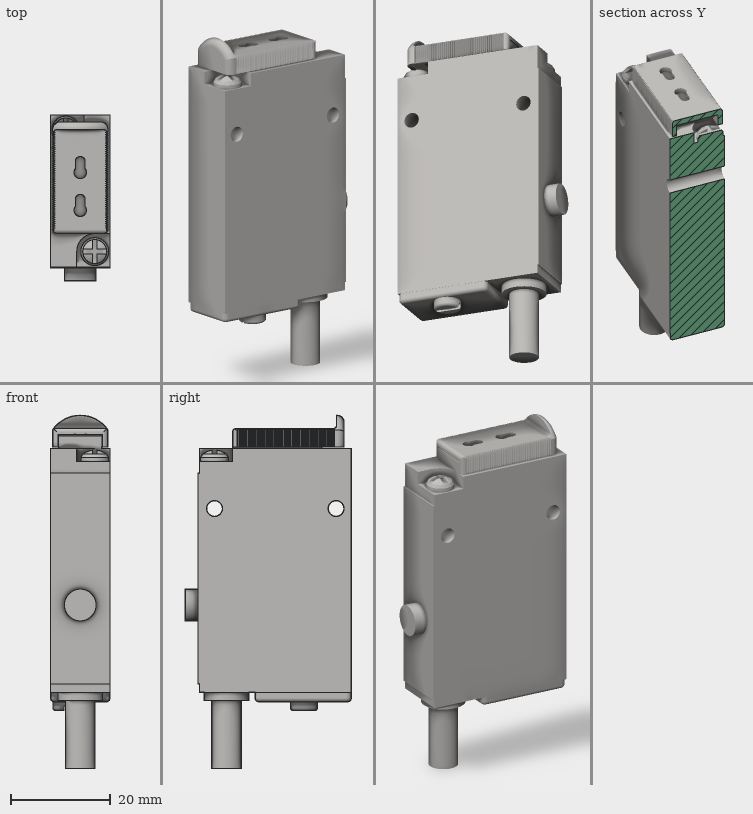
import cadquery as cq
import math

body_width = 12.0
body_depth = 30.45
body_height = 48.9
half_width = body_width / 2

panel_thickness = 0.3
panel_bottom = 1.7
panel_top = 43.9

button_diameter = 6.4
button_height = 2.55
button_z = 17.5

mount_hole_diameter = 3.1
mount_hole_inset = 3.05
mount_hole_z = 36.85

screw_x = 2.9
screw_inset = 3.05
screw_diameter = 5.6
screw_rim_height = 0.85
screw_shoulder_height = 1.5
screw_shoulder_radius = 2.4
screw_height = 2.35
cross_width = 1.0
pocket_radius = 3.6
pocket_depth = 2.6
pocket_floor = body_height - pocket_depth
pocket_back = screw_inset + pocket_radius

cover_front = pocket_back
cover_back = 29.05
cover_half_width = 5.5
cover_bottom = 49.15
cover_top = 52.9
cover_front_corner = 0.9
cover_back_corner = 1.4
cover_front_round = 0.8
cover_back_wall = 1.05

tooth_pitch = 0.4
tooth_depth = 0.4
tooth_count = 46
teeth_start = cover_front + cover_front_corner

tongue_front = 27.5
tongue_top = 55.55
tongue_arc_radius = 6.65
tongue_back_round = 1.4
tongue_root_round = 0.6

cavity_half_width = 4.45
cavity_ceiling = 51.7
plug_half_width = 4.3
plug_back = 24.6
plug_top = 51.35
bridge_start = 15.2
bridge_end = 17.35

keyhole_diameter = 2.5
keyhole_slot_width = 2.0
keyhole_length = 2.2
keyhole_y_positions = (11.3, 18.9)

plate_half_width = 5.95
plate_depth = 19.3
plate_thickness = 1.9
plate_corner = 1.0
plate_round = 0.7

adjuster_x = -2.75
adjuster_y = 21.0
adjuster_diameter = 5.45
adjuster_height = 1.8
adjuster_round = 0.6
adjuster_slot_width = 0.9
adjuster_slot_depth = 0.9

cable_y = 5.45
cable_diameter = 5.95
cable_length = 15.3
gland_diameter = 9.0
gland_height = 1.7


def box(x_range, y_range, z_range):
    """Box given by its lower and upper limits along each axis."""
    ranges = (x_range, y_range, z_range)
    sizes = [high - low for low, high in ranges]
    corner = tuple(low for low, high in ranges)
    return cq.Workplane("XY").box(*sizes, centered=False).translate(corner)


def cylinder(diameter, height, x, y, z):
    """Upright cylinder standing on the point (x, y, z)."""
    return cq.Workplane("XY").circle(diameter / 2).extrude(height).translate((x, y, z))


def turned_about_centre(shape):
    """Copy of a shape turned half a turn about the housing's vertical centre line."""
    centre_y = body_depth / 2
    return shape.rotate((0, centre_y, 0), (0, centre_y, 1), 180)


def make_housing():
    housing = box((-half_width, half_width), (0, body_depth), (0, body_height))
    panel = box((-half_width, half_width), (-panel_thickness, 0), (panel_bottom, panel_top))
    button = (
        cq.Workplane("XZ")
        .center(0, button_z)
        .circle(button_diameter / 2)
        .extrude(panel_thickness + button_height)
    )
    mount_holes = (
        cq.Workplane("YZ")
        .pushPoints([(y, mount_hole_z) for y in (mount_hole_inset, body_depth - mount_hole_inset)])
        .circle(mount_hole_diameter / 2)
        .extrude(half_width, both=True)
    )
    return housing.union(panel).union(button).cut(mount_holes)


def make_plug():
    block = box((-plug_half_width, plug_half_width), (cover_front, plug_back), (body_height, plug_top))
    bridge = box((-plug_half_width, plug_half_width), (bridge_start, bridge_end), (plug_top, cavity_ceiling))
    return block.union(bridge)


def make_pocket():
    """Pocket open to the front and the right, with one rounded inner corner."""
    left = screw_x - pocket_radius
    diagonal = pocket_radius * math.sqrt(0.5)
    return (
        cq.Workplane("XY", origin=(0, 0, pocket_floor))
        .moveTo(left, -panel_thickness)
        .lineTo(left, screw_inset)
        .threePointArc((screw_x - diagonal, screw_inset + diagonal), (screw_x, pocket_back))
        .lineTo(half_width, pocket_back)
        .lineTo(half_width, -panel_thickness)
        .close()
        .extrude(cover_bottom - pocket_floor)
    )


def make_terminal_screw():
    """Domed head with a cross recess, standing on the pocket floor."""
    radius = screw_diameter / 2
    dome_rise = screw_height - screw_shoulder_height
    dome_radius = (screw_shoulder_radius**2 + dome_rise**2) / (2 * dome_rise)
    head = (
        cq.Workplane("XZ")
        .lineTo(radius, 0)
        .lineTo(radius, screw_rim_height)
        .lineTo(screw_shoulder_radius, screw_shoulder_height)
        .radiusArc((0, screw_height), -dome_radius)
        .close()
        .revolve(360, (0, 0, 0), (0, 1, 0))
    )
    cross_z = (screw_shoulder_height, screw_height)
    bar = box((-radius, radius), (-cross_width / 2, cross_width / 2), cross_z)
    cross = bar.union(bar.rotate((0, 0, 0), (0, 0, 1), 90))
    return head.cut(cross).translate((screw_x, screw_inset, pocket_floor))


def make_cover_plan():
    """Cover seen from above: rounded corners and toothed long sides."""
    plan = (
        box((-cover_half_width, cover_half_width), (cover_front, cover_back), (cover_bottom, tongue_top))
        .edges("|Z and <Y")
        .fillet(cover_front_corner)
        .edges("|Z and >Y")
        .fillet(cover_back_corner)
    )
    valley = cover_half_width - tooth_depth
    outside = 2 * cover_half_width
    points = [(cover_half_width, teeth_start)]
    for tooth in range(tooth_count):
        tooth_y = teeth_start + tooth * tooth_pitch
        points.append((valley, tooth_y + tooth_pitch / 2))
        points.append((cover_half_width, tooth_y + tooth_pitch))
    points.append((outside, points[-1][1]))
    points.append((outside, teeth_start))
    grooves = (
        cq.Workplane("XY", origin=(0, 0, cover_bottom))
        .polyline(points)
        .close()
        .extrude(tongue_top - cover_bottom)
    )
    return plan.cut(grooves).cut(grooves.mirror("YZ"))


def make_cover_side_profile():
    """Cover seen along X: rounded front edge, flat lid and a finger tongue at the back."""
    root_y = tongue_front - tongue_root_round
    return (
        cq.Workplane("YZ")
        .moveTo(cover_front, cover_bottom)
        .lineTo(cover_front, cover_top - cover_front_round)
        .radiusArc((cover_front + cover_front_round, cover_top), cover_front_round)
        .lineTo(root_y, cover_top)
        .radiusArc((tongue_front, cover_top + tongue_root_round), -tongue_root_round)
        .lineTo(tongue_front, tongue_top)
        .lineTo(cover_back, tongue_top)
        .lineTo(cover_back, cover_bottom)
        .close()
        .extrude(cover_half_width, both=True)
    )


def make_cover_arch():
    """Drum along Y that gives the tongue its arched top and its rounded back edge."""
    drum = cq.Workplane("XZ").circle(tongue_arc_radius).extrude(-cover_back)
    drum = drum.faces(">Y").edges().fillet(tongue_back_round)
    return drum.translate((0, 0, tongue_top - tongue_arc_radius))


def make_keyhole(round_y):
    """Round hole with a narrower slot running towards the back, through the lid."""
    slot_end_y = round_y + keyhole_length
    half_slot = keyhole_slot_width / 2
    lid = cover_top - plug_top
    keyhole = cylinder(keyhole_diameter, lid, 0, round_y, plug_top)
    keyhole = keyhole.union(cylinder(keyhole_slot_width, lid, 0, slot_end_y, plug_top))
    return keyhole.union(box((-half_slot, half_slot), (round_y, slot_end_y), (plug_top, cover_top)))


def make_cover():
    cover = make_cover_plan().intersect(make_cover_side_profile()).intersect(make_cover_arch())
    cavity = box(
        (-cavity_half_width, cavity_half_width),
        (cover_front, cover_back - cover_back_wall),
        (cover_bottom, cavity_ceiling),
    )
    cover = cover.cut(cavity)
    for round_y in keyhole_y_positions:
        cover = cover.cut(make_keyhole(round_y))
    return cover


def make_bottom_plate():
    return (
        box(
            (-plate_half_width, plate_half_width),
            (body_depth - plate_depth, body_depth),
            (-plate_thickness, 0),
        )
        .edges("|Z")
        .fillet(plate_corner)
        .faces("<Z")
        .edges()
        .fillet(plate_round)
    )


def make_adjuster():
    """Slotted screw head under the bottom plate."""
    tip_z = -plate_thickness - adjuster_height
    radius = adjuster_diameter / 2
    half_slot = adjuster_slot_width / 2
    head = cylinder(adjuster_diameter, adjuster_height, adjuster_x, adjuster_y, tip_z)
    head = head.faces("<Z").edges().fillet(adjuster_round)
    slot = box(
        (adjuster_x - half_slot, adjuster_x + half_slot),
        (adjuster_y - radius, adjuster_y + radius),
        (tip_z, tip_z + adjuster_slot_depth),
    )
    return head.cut(slot)


def make_cable():
    gland = cylinder(gland_diameter, gland_height, 0, cable_y, -gland_height)
    return gland.union(cylinder(cable_diameter, cable_length, 0, cable_y, -cable_length))


pocket = make_pocket()
terminal_screw = make_terminal_screw()

result = make_housing().union(make_plug())
result = result.cut(pocket).cut(turned_about_centre(pocket))
result = result.union(terminal_screw).union(turned_about_centre(terminal_screw))
result = result.union(make_cover())
result = result.union(make_bottom_plate()).union(make_adjuster()).union(make_cable())